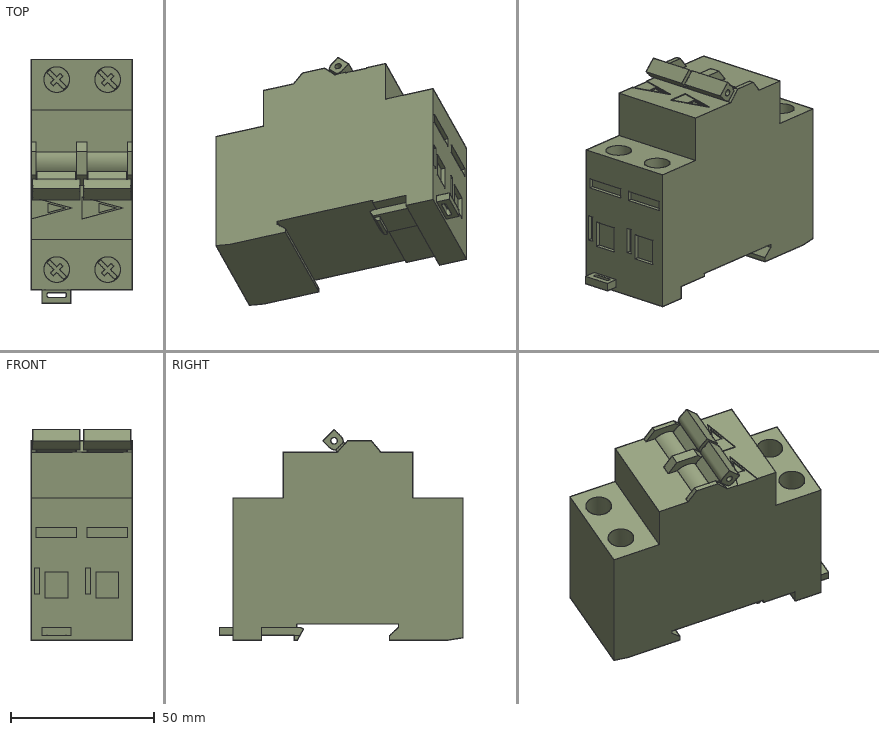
import cadquery as cq
import math


housing_width = 35.1
housing_depth = 80.0
pole_pitch = 17.7
pole_count = 2
pole_width = housing_width - (pole_count - 1) * pole_pitch
shoulder_height = 49.5
shoulder_depth = 17.5
deck_height = 65.4
back_bevel_height = 0.85
back_bevel_length = 5.3

rail_ceiling = 5.6
hook_root_y = 57.5
hook_root_height = 4.5
hook_tip_y = 54.4
hook_tip_height = 1.6
rail_front_y = 22.25
front_foot_depth = 10.0

latch_x = 3.7
latch_width = 10.1
latch_bottom = 1.7
latch_top = 4.5
latch_pull_length = 4.7
latch_top_end_y = 23.4
latch_nose_y = 24.6
latch_nose_height = 3.9
latch_heel_y = 22.4
latch_tooth_front_y = 21.25
latch_tooth_inset = 1.0
eye_length = 6.6
eye_width = 1.6
eye_x = 8.85
eye_offset = 1.85
eye_corner_radius = 0.5

screw_diameter = 8.9
screw_x = 8.85
screw_edge_distance = 7.0
screw_well_depth = 10.0
drive_width = 1.4
drive_long = 8.3
drive_short = 4.7
drive_depth = 1.0
drive_angle = 45.0

pocket_depth = 1.5
label_window = (1.65, 35.7, 14.15, 3.4)
side_slit = (1.1, 16.0, 1.75, 9.05)
wire_opening = (4.75, 14.6, 7.95, 9.05)

mark_center_y = 28.4
mark_half_base = 3.8
mark_length = 14.1
mark_depth = 0.25
inner_depth = 0.75
inner_offset = 5.9
inner_half_base = 1.6

pivot_y = 44.0
hump_height = 69.35
hump_top_length = 8.2
hump_base_back_y = 51.4
hump_base_front_y = 36.3
hump_cheek = 1.7

rocker_radius = 6.3
lever_tilt = 45.0
head_half = 2.78
pin_reach = 12.5
flank_reach = 11.95
head_bottom_reach = 9.85
head_width = 16.4
neck_half = 1.95
neck_width = 13.4
pin_diameter = 2.2

overall_height = 73.23
head_corner_reach = pin_reach + head_half
tilt = math.radians(lever_tilt)
pivot_z = overall_height - head_corner_reach * math.cos(tilt) - head_half * math.sin(tilt)
rocker_half_chord = math.sqrt(rocker_radius**2 - (deck_height - pivot_z) ** 2)

flank_length = flank_reach - head_bottom_reach
flank_inset = head_half - neck_half
flank_radius = (flank_length**2 + flank_inset**2) / (2 * flank_inset)


def box(x, y, z, dx, dy, dz):
    """Block given by its lowest corner and its size."""
    return cq.Workplane("XY").box(dx, dy, dz, centered=False).translate((x, y, z))


def side_plate(points, x, width):
    """Closed Y-Z outline extruded along +X from x."""
    return cq.Workplane("YZ").polyline(points).close().extrude(width).translate((x, 0, 0))


def pole_origins():
    """Left X of each pole."""
    return [i * pole_pitch for i in range(pole_count)]


def make_housing():
    deck_back_y = housing_depth - shoulder_depth
    outline = [
        (0, 0),
        (0, shoulder_height),
        (shoulder_depth, shoulder_height),
        (shoulder_depth, deck_height),
        (hump_base_front_y, deck_height),
        (pivot_y - hump_top_length / 2, hump_height),
        (pivot_y + hump_top_length / 2, hump_height),
        (hump_base_back_y, deck_height),
        (deck_back_y, deck_height),
        (deck_back_y, shoulder_height),
        (housing_depth, shoulder_height),
        (housing_depth, back_bevel_height),
        (housing_depth - back_bevel_length, 0),
        (hook_tip_y, 0),
        (hook_tip_y, hook_tip_height),
        (hook_root_y, hook_root_height),
        (hook_root_y, rail_ceiling),
        (rail_front_y, rail_ceiling),
        (rail_front_y, latch_top),
        (front_foot_depth, latch_top),
        (front_foot_depth, 0),
    ]
    return side_plate(outline, 0, housing_width)


def make_hump_channel(x):
    """Space between the two cheeks of a pole, open down to the deck."""
    length = hump_base_back_y - hump_base_front_y
    width = pole_width - 2 * hump_cheek
    return box(x + hump_cheek, hump_base_front_y, deck_height, width, length, hump_height - deck_height)


def make_rocker(x):
    """Part of the rocker cylinder that stands above the deck."""
    width = pole_width - 2 * hump_cheek
    return (
        cq.Workplane("YZ")
        .moveTo(pivot_y - rocker_half_chord, deck_height)
        .threePointArc((pivot_y, pivot_z + rocker_radius), (pivot_y + rocker_half_chord, deck_height))
        .close()
        .extrude(width)
        .translate((x + hump_cheek, 0, 0))
    )


def make_lever(x):
    """Lever built upright over the pivot, then tilted towards the front."""
    center_x = x + pole_width / 2
    head = (
        cq.Workplane("YZ")
        .moveTo(neck_half, head_bottom_reach)
        .lineTo(-neck_half, head_bottom_reach)
        .radiusArc((-head_half, flank_reach), flank_radius)
        .lineTo(-head_half, head_corner_reach)
        .lineTo(head_half, head_corner_reach)
        .lineTo(head_half, flank_reach)
        .radiusArc((neck_half, head_bottom_reach), flank_radius)
        .close()
        .extrude(head_width / 2, both=True)
    )
    pin_hole = cq.Workplane("YZ").center(0, pin_reach).circle(pin_diameter / 2)
    head = head.cut(pin_hole.extrude(head_width / 2, both=True))
    neck_start = deck_height - pivot_z
    neck = cq.Workplane("XY").box(
        neck_width, 2 * neck_half, head_bottom_reach - neck_start, centered=(True, True, False)
    )
    lever = head.union(neck.translate((0, 0, neck_start)))
    return lever.rotate((0, 0, 0), (1, 0, 0), lever_tilt).translate((center_x, pivot_y, pivot_z))


def make_screw_well(x, y):
    """Round well above a screw head, with the cross-shaped drive recess in its floor."""
    floor = shoulder_height - screw_well_depth
    well = cq.Workplane("XY").circle(screw_diameter / 2).extrude(screw_well_depth)
    for length, width in ((drive_long, drive_width), (drive_width, drive_short)):
        well = well.union(cq.Workplane("XY").rect(length, width).extrude(-drive_depth))
    return well.rotate((0, 0, 0), (0, 0, 1), -drive_angle).translate((x, y, floor))


def make_mark(x):
    """Triangular recess with a deeper triangle inside it."""
    inner_length = mark_length * inner_half_base / mark_half_base

    def triangle(start, half_base, length, depth):
        points = [(start, -half_base), (start + length, 0), (start, half_base)]
        return cq.Workplane("XY").polyline(points).close().extrude(-depth)

    mark = triangle(0, mark_half_base, mark_length, mark_depth)
    mark = mark.union(triangle(inner_offset, inner_half_base, inner_length, inner_depth))
    return mark.translate((x, mark_center_y, deck_height))


def make_latch():
    slope = (latch_nose_y - latch_heel_y) / latch_nose_height
    underside_y = latch_heel_y + slope * latch_bottom
    bar = side_plate(
        [
            (-latch_pull_length, latch_bottom),
            (-latch_pull_length, latch_top),
            (latch_top_end_y, latch_top),
            (latch_nose_y, latch_nose_height),
            (underside_y, latch_bottom),
        ],
        latch_x,
        latch_width,
    )
    tooth = side_plate(
        [
            (latch_tooth_front_y, 0),
            (latch_tooth_front_y, latch_bottom),
            (underside_y, latch_bottom),
            (latch_heel_y, 0),
        ],
        latch_x + latch_tooth_inset,
        latch_width - 2 * latch_tooth_inset,
    )
    eye = box(eye_x - eye_length / 2, -eye_offset - eye_width / 2, latch_bottom,
              eye_length, eye_width, latch_top - latch_bottom)
    return bar.union(tooth).cut(eye.edges("|Z").fillet(eye_corner_radius))


part = make_housing().union(make_latch())
for pole_x in pole_origins():
    part = part.cut(make_hump_channel(pole_x))
    part = part.union(make_rocker(pole_x)).union(make_lever(pole_x))
    part = part.cut(make_mark(pole_x))
    for screw_y in (screw_edge_distance, housing_depth - screw_edge_distance):
        part = part.cut(make_screw_well(pole_x + screw_x, screw_y))
    for left, bottom, width, height in (label_window, side_slit, wire_opening):
        part = part.cut(box(pole_x + left, 0, bottom, width, pocket_depth, height))

result = part